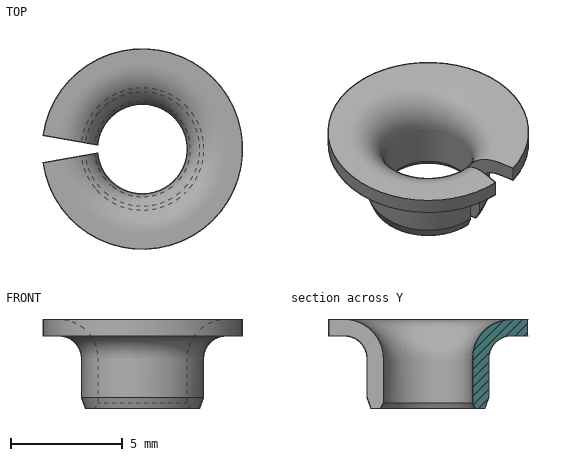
import cadquery as cq
import math

flange_radius = 4.49
total_height = 4.0
bore_radius = 2.0
sleeve_radius = 2.75
funnel_radius = 1.75
tip_height = 0.5
tip_angle = 20.0
bore_chamfer_height = 0.25
bore_chamfer_width = 0.14
slot_half_angle = 10.0
slot_apex_x = -1.0

arc_center_r = bore_radius + funnel_radius
arc_center_z = total_height - funnel_radius
fillet_radius = arc_center_r - sleeve_radius
flange_bottom = arc_center_z + fillet_radius
tip_inset = tip_height * math.tan(math.radians(tip_angle))


def arc_middle(radius):
    """Middle of a quarter arc facing the axis and the top."""
    offset = radius * math.sqrt(0.5)
    return (arc_center_r - offset, arc_center_z + offset)


def flanged_bushing():
    """Full revolved body with a flared bore, a bore chamfer and a tapered tip."""
    profile = (
        cq.Workplane("XZ")
        .moveTo(bore_radius, bore_chamfer_height)
        .lineTo(bore_radius + bore_chamfer_width, 0)
        .lineTo(sleeve_radius - tip_inset, 0)
        .lineTo(sleeve_radius, tip_height)
        .lineTo(sleeve_radius, arc_center_z)
        .threePointArc(arc_middle(fillet_radius), (arc_center_r, flange_bottom))
        .lineTo(flange_radius, flange_bottom)
        .lineTo(flange_radius, total_height)
        .lineTo(arc_center_r, total_height)
        .threePointArc(arc_middle(funnel_radius), (bore_radius, arc_center_z))
        .close()
    )
    return profile.revolve(360, (0, 0, 0), (0, 1, 0)).rotate((0, 0, 0), (0, 0, 1), 180)


def wedge_slot():
    """Wedge that widens toward -X and splits the whole wall."""
    outer_x = -1.2 * flange_radius
    half_width = (slot_apex_x - outer_x) * math.tan(math.radians(slot_half_angle))
    return (
        cq.Workplane("XY")
        .polyline([(slot_apex_x, 0), (outer_x, half_width), (outer_x, -half_width)])
        .close()
        .extrude(total_height)
    )


result = flanged_bushing().cut(wedge_slot())